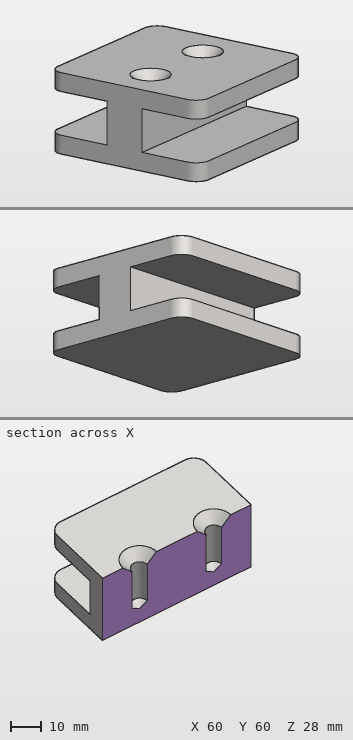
import cadquery as cq
import math

plate_side = 60.0
plate_thickness = 6.5
corner_radius = 5.0

web_width = 14.0
plate_gap = 15.0

hole_spacing = 30.0
hole_diameter = 6.0
countersink_diameter = 13.5
countersink_angle = 90.0
drill_tip_angle = 118.0
hole_depth = 20.0

total_height = 2 * plate_thickness + plate_gap
top_z = total_height / 2


def cone_height(large_diameter, small_diameter, angle):
    """Axial length of a cone between two diameters with the given included angle."""
    return (large_diameter - small_diameter) / 2 / math.tan(math.radians(angle / 2))


def plate(center_z):
    """Square plate with rounded vertical corners."""
    blank = cq.Workplane("XY").box(plate_side, plate_side, plate_thickness)
    return blank.edges("|Z").fillet(corner_radius).translate((0, 0, center_z))


def web():
    """Full-length central wall between the plates."""
    return cq.Workplane("XY").box(web_width, plate_side, plate_gap)


def countersunk_hole(center_y):
    """Countersunk hole cutter with a conical drill tip, revolved about a vertical axis."""
    rim_radius = countersink_diameter / 2
    hole_radius = hole_diameter / 2
    countersink_bottom = top_z - cone_height(countersink_diameter, hole_diameter, countersink_angle)
    bore_bottom = top_z - hole_depth
    tip = bore_bottom - cone_height(hole_diameter, 0, drill_tip_angle)
    half_section = (
        cq.Workplane("XZ")
        .moveTo(0, top_z)
        .lineTo(rim_radius, top_z)
        .lineTo(hole_radius, countersink_bottom)
        .lineTo(hole_radius, bore_bottom)
        .lineTo(0, tip)
        .close()
    )
    return half_section.revolve(360, (0, 0, 0), (0, 1, 0)).translate((0, center_y, 0))


plate_center_z = (plate_gap + plate_thickness) / 2
body = web().union(plate(plate_center_z)).union(plate(-plate_center_z))
for side in (-1, 1):
    body = body.cut(countersunk_hole(side * hole_spacing / 2))

result = body